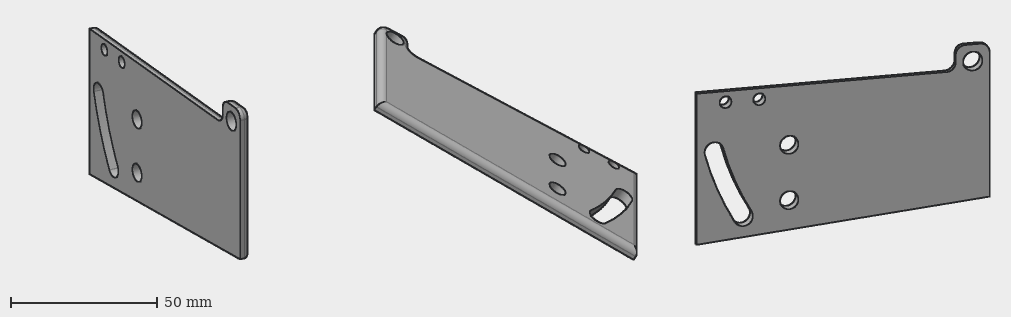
import cadquery as cq
import math

LENGTH = 104
THICKNESS = 4.0
TOTAL_HEIGHT = 63.6
PLATE_TOP = 54.5
RIGHT_BOTTOM = 8.2
BACK_EDGE_RADIUS = 2.4

EAR_WIDTH = 12.1
EAR_LEFT = LENGTH - EAR_WIDTH
EAR_RADIUS = 3.3
PIVOT_X = LENGTH - EAR_WIDTH / 2
PIVOT_Z = TOTAL_HEIGHT - EAR_WIDTH / 2
PIVOT_DIAMETER = 6.8

SMALL_DIAMETER = 4.2
SMALL_X = 10.3
SMALL_SPACING = 12.0
SMALL_Z = 50.5

LARGE_DIAMETER = 6.5
LARGE_X = 32.9
LARGE_LOWER_Z = 13.2
LARGE_SPACING = 20.0

SLOT_RADIUS = 95.0
SLOT_WIDTH = 6.8
SLOT_START = 195
SLOT_END = 211


def make_plate():
    """Tapered plate with an ear and a rounded back perimeter."""
    outline = (
        cq.Workplane("XZ")
        .polyline([
            (0, 0),
            (LENGTH, RIGHT_BOTTOM),
            (LENGTH, TOTAL_HEIGHT),
            (EAR_LEFT, TOTAL_HEIGHT),
            (EAR_LEFT, PLATE_TOP),
            (0, PLATE_TOP),
        ])
        .close()
        .extrude(-THICKNESS)
    )
    ear_corners = cq.selectors.BoxSelector(
        (EAR_LEFT - 1, -1, PLATE_TOP - 1),
        (LENGTH + 1, THICKNESS + 1, TOTAL_HEIGHT + 1),
    )
    rounded = outline.edges("|Y").edges(ear_corners).fillet(EAR_RADIUS)
    return rounded.faces(">Y").edges().fillet(BACK_EDGE_RADIUS)


def through_holes(centers, diameter):
    """Cylinders along Y that pass through the plate."""
    return cq.Workplane("XZ").pushPoints(centers).circle(diameter / 2).extrude(-THICKNESS)


def slot_point(radius, degrees):
    """Point at a given distance and angle from the pivot."""
    angle = math.radians(degrees)
    return (PIVOT_X + radius * math.cos(angle), PIVOT_Z + radius * math.sin(angle))


def curved_slot():
    """Slot with round ends that follows an arc about the pivot."""
    inner = SLOT_RADIUS - SLOT_WIDTH / 2
    outer = SLOT_RADIUS + SLOT_WIDTH / 2
    middle = (SLOT_START + SLOT_END) / 2
    band = (
        cq.Workplane("XZ")
        .moveTo(*slot_point(outer, SLOT_START))
        .threePointArc(slot_point(outer, middle), slot_point(outer, SLOT_END))
        .lineTo(*slot_point(inner, SLOT_END))
        .threePointArc(slot_point(inner, middle), slot_point(inner, SLOT_START))
        .close()
        .extrude(-THICKNESS)
    )
    ends = [slot_point(SLOT_RADIUS, angle) for angle in (SLOT_START, SLOT_END)]
    return band.union(through_holes(ends, SLOT_WIDTH))


small_centers = [(SMALL_X + i * SMALL_SPACING, SMALL_Z) for i in range(2)]
large_centers = [(LARGE_X, LARGE_LOWER_Z + i * LARGE_SPACING) for i in range(2)]

result = (
    make_plate()
    .cut(through_holes([(PIVOT_X, PIVOT_Z)], PIVOT_DIAMETER))
    .cut(through_holes(small_centers, SMALL_DIAMETER))
    .cut(through_holes(large_centers, LARGE_DIAMETER))
    .cut(curved_slot())
)